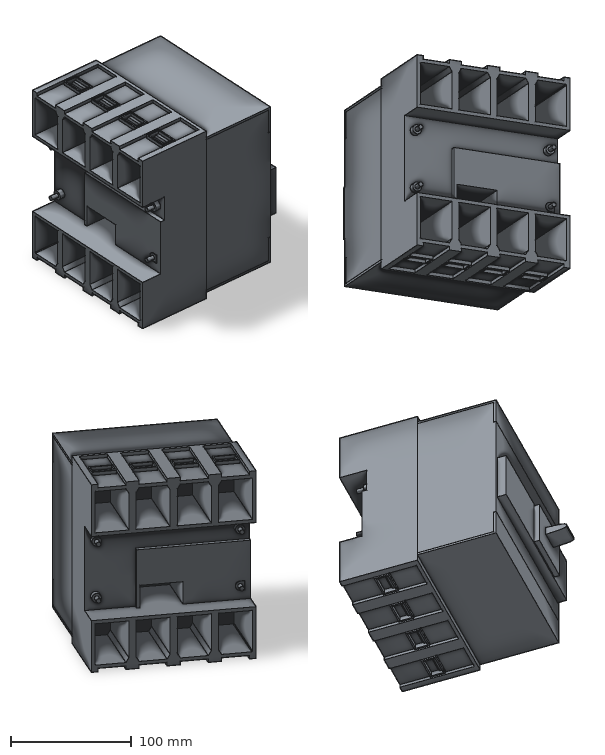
import cadquery as cq


WIDTH = 140.0
DEPTH = 170.3
BASE_HEIGHT = 166.0
POLE_COUNT = 4
POLE_PITCH = WIDTH / POLE_COUNT
POLE_CENTRES = [(i - (POLE_COUNT - 1) / 2) * POLE_PITCH for i in range(POLE_COUNT)]

BASE_DEPTH = 69.3
BASE_TOP = BASE_HEIGHT / 2
WALL = 3.0
CHANNEL_DEPTH = 24.0
CHANNEL_HEIGHT = 74.4
CHANNEL_TOP = CHANNEL_HEIGHT / 2
POCKET_END = BASE_DEPTH - WALL

SLOT_WIDTH = 23.7
SLOT_FLOOR = BASE_TOP - WALL

CAVITY_WIDTH = 28.8
CAVITY_INNER = CHANNEL_TOP + WALL
CAVITY_OUTER = SLOT_FLOOR - WALL
CORNER_WIDTH = (CAVITY_WIDTH - SLOT_WIDTH) / 2
CORNER_HEIGHT = 4.1
END_CORNER = 0.7

FRAME_WIDTH = 20.6
FRAME_FRONT = 28.0
FRAME_BACK = 41.2
FRAME_WALL = 1.4
STEP_BACK = 37.0
STEP_DEPTH = 1.5

PLATE_LEFT = -26.9
PLATE_TOP = 14.3
PLATE_THICKNESS = 4.3
NOTCH_LEFT = -24.0
NOTCH_RIGHT = 12.5
NOTCH_TOP = -17.4

STUD_X = 61.0
STUD_Z = 25.0
BOSS_DIAMETER = 8.0
BOSS_LENGTH = 5.0
STUD_DIAMETER = 4.0
STUD_LENGTH = 12.0

BREAKER_BACK = 139.3
BREAKER_HEIGHT = 153.8
BREAKER_TOP = BREAKER_HEIGHT / 2
COLLAR_WIDTH = 134.9
COLLAR_BOTTOM = -33.0
COLLAR_TOP = 12.1
COLLAR_BACK = 147.3
HANDLE_X = -POLE_PITCH / 2
BEZEL_WIDTH = 45.0
BEZEL_BOTTOM = -31.0
BEZEL_TOP = 10.5
BEZEL_BACK = 151.9

HANDLE_WIDTH = 16.9
HANDLE_Z = -7.5
HANDLE_ROOT_HALF = 4.0
NOSE_START = 163.6
NOSE_START_HALF = 3.2
NOSE_MID = 166.4
NOSE_MID_HALF = 2.9
NOSE_END = 168.7
NOSE_END_HALF = 2.2
TIP_HALF = 1.2

COVER_THICKNESS = 2.2
COVER_RETURN_END = 52.1


def block(x0, x1, y0, y1, z0, z1):
    """A box between two limits along each axis."""
    return cq.Workplane("XY").box(x1 - x0, y1 - y0, z1 - z0, centered=False).translate((x0, y0, z0))


def centred_block(x, width, y0, y1, z0, z1):
    """A box of the given width about x."""
    return block(x - width / 2, x + width / 2, y0, y1, z0, z1)


def mirrored_down(shape):
    """The matching shape on the lower half."""
    return shape.mirror("XY")


def rod(x, z, diameter, y0, y1):
    """A cylinder along Y."""
    return cq.Workplane("XZ", origin=(x, y0, z)).circle(diameter / 2).extrude(y0 - y1)


def terminal_cavity(x, left_corner, right_corner):
    """A terminal opening whose two outer corners are cut off by (width, height)."""
    left = x - CAVITY_WIDTH / 2
    right = x + CAVITY_WIDTH / 2
    outline = [
        (left, CAVITY_INNER),
        (right, CAVITY_INNER),
        (right, CAVITY_OUTER - right_corner[1]),
        (right - right_corner[0], CAVITY_OUTER),
        (left + left_corner[0], CAVITY_OUTER),
        (left, CAVITY_OUTER - left_corner[1]),
    ]
    return cq.Workplane("XZ").polyline(outline).close().extrude(-POCKET_END)


def window_frame(x):
    """A raised rim whose opening has a 45-degree step down to a lower front floor."""
    rim = centred_block(x, FRAME_WIDTH, FRAME_FRONT, FRAME_BACK, SLOT_FLOOR, BASE_TOP)
    inner_width = FRAME_WIDTH - 2 * FRAME_WALL
    inner_front = FRAME_FRONT + FRAME_WALL
    inner_back = FRAME_BACK - FRAME_WALL
    profile = [
        (inner_front, BASE_TOP),
        (inner_front, SLOT_FLOOR - STEP_DEPTH),
        (STEP_BACK - STEP_DEPTH, SLOT_FLOOR - STEP_DEPTH),
        (STEP_BACK, SLOT_FLOOR),
        (inner_back, SLOT_FLOOR),
        (inner_back, BASE_TOP),
    ]
    opening = (
        cq.Workplane("YZ", origin=(x - inner_width / 2, 0, 0)).polyline(profile).close().extrude(inner_width)
    )
    return rim, opening


def mounting_stud(x, z):
    """A round boss on the channel floor with a thinner stud at its centre."""
    boss = rod(x, z, BOSS_DIAMETER, CHANNEL_DEPTH - BOSS_LENGTH, CHANNEL_DEPTH)
    stud = rod(x, z, STUD_DIAMETER, CHANNEL_DEPTH - STUD_LENGTH, CHANNEL_DEPTH)
    return boss.union(stud)


def make_base():
    base = block(-WIDTH / 2, WIDTH / 2, 0, BASE_DEPTH, -BASE_TOP, BASE_TOP)

    base = base.cut(block(-WIDTH / 2, WIDTH / 2, 0, CHANNEL_DEPTH, -CHANNEL_TOP, CHANNEL_TOP))
    plate_front = CHANNEL_DEPTH - PLATE_THICKNESS
    base = base.union(block(PLATE_LEFT, WIDTH / 2, plate_front, CHANNEL_DEPTH, -CHANNEL_TOP, PLATE_TOP))
    base = base.cut(block(NOTCH_LEFT, NOTCH_RIGHT, plate_front, POCKET_END, -CHANNEL_TOP, NOTCH_TOP))

    corner = (CORNER_WIDTH, CORNER_HEIGHT)
    end_corner = (END_CORNER, END_CORNER)
    for i, x in enumerate(POLE_CENTRES):
        left_corner = end_corner if i == 0 else corner
        right_corner = end_corner if i == POLE_COUNT - 1 else corner
        cavity = terminal_cavity(x, left_corner, right_corner)
        slot = centred_block(x, SLOT_WIDTH, 0, POCKET_END, SLOT_FLOOR, BASE_TOP)
        rim, opening = window_frame(x)
        base = base.cut(cavity).cut(slot).union(rim).cut(opening)
        base = base.cut(mirrored_down(cavity)).cut(mirrored_down(slot))
        base = base.union(mirrored_down(rim)).cut(mirrored_down(opening))

    for x in (-STUD_X, STUD_X):
        for z in (-STUD_Z, STUD_Z):
            base = base.union(mounting_stud(x, z))
    boss_radius = BOSS_DIAMETER / 2
    square_side = block(
        STUD_X,
        STUD_X + boss_radius,
        CHANNEL_DEPTH - BOSS_LENGTH,
        CHANNEL_DEPTH,
        -STUD_Z - boss_radius,
        -STUD_Z + boss_radius,
    )
    return base.union(square_side)


def make_handle():
    """The toggle lever, which is part of the breaker body."""
    return (
        cq.Workplane("YZ", origin=(HANDLE_X - HANDLE_WIDTH / 2, 0, HANDLE_Z))
        .moveTo(BEZEL_BACK, -HANDLE_ROOT_HALF)
        .lineTo(NOSE_START, -NOSE_START_HALF)
        .threePointArc((NOSE_MID, -NOSE_MID_HALF), (NOSE_END, -NOSE_END_HALF))
        .lineTo(DEPTH, -TIP_HALF)
        .lineTo(DEPTH, TIP_HALF)
        .lineTo(NOSE_END, NOSE_END_HALF)
        .threePointArc((NOSE_MID, NOSE_MID_HALF), (NOSE_START, NOSE_START_HALF))
        .lineTo(BEZEL_BACK, HANDLE_ROOT_HALF)
        .close()
        .extrude(HANDLE_WIDTH)
    )


def make_cover():
    """The L-shaped upper cover: a flat top with a return down the breaker's back."""
    profile = [
        (BASE_DEPTH, BREAKER_TOP - COVER_THICKNESS),
        (BASE_DEPTH, BREAKER_TOP),
        (BREAKER_BACK, BREAKER_TOP),
        (BREAKER_BACK, COVER_RETURN_END),
        (BREAKER_BACK - COVER_THICKNESS, COVER_RETURN_END),
        (BREAKER_BACK - COVER_THICKNESS, BREAKER_TOP - COVER_THICKNESS),
    ]
    return cq.Workplane("YZ", origin=(-WIDTH / 2, 0, 0)).polyline(profile).close().extrude(WIDTH)


def make_breaker(covers):
    """The breaker housing with its collar, bezel and handle, recessed for the covers."""
    breaker = block(-WIDTH / 2, WIDTH / 2, BASE_DEPTH, BREAKER_BACK, -BREAKER_TOP, BREAKER_TOP)
    for cover in covers:
        breaker = breaker.cut(cover)
    collar = centred_block(0, COLLAR_WIDTH, BREAKER_BACK, COLLAR_BACK, COLLAR_BOTTOM, COLLAR_TOP)
    bezel = centred_block(HANDLE_X, BEZEL_WIDTH, COLLAR_BACK, BEZEL_BACK, BEZEL_BOTTOM, BEZEL_TOP)
    return breaker.union(collar).union(bezel).union(make_handle())


base = make_base()
upper_cover = make_cover()
covers = [upper_cover, mirrored_down(upper_cover)]
breaker = make_breaker(covers)

bodies = [base, breaker, *covers]
result = cq.Compound.makeCompound([body.solids().val() for body in bodies])